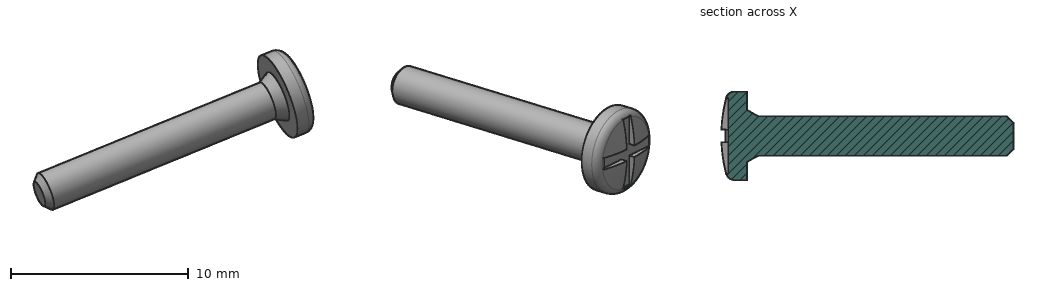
import cadquery as cq
import math

total_length = 16.44
head_radius = 2.5
shank_length = 15.0
crossing_sag = 0.01
head_height = total_length - shank_length + crossing_sag
rim_height = 0.7
crown_edge_radius = 0.5

shank_radius = 1.12
tip_chamfer = 0.38
neck_radius = 1.48
neck_length = 0.65

slot_width = 0.7
arm_reach = 2.12
cross_offset = 0.13
slot_depth = 0.4


def crown_arcs():
    """Return the edge arc midpoint, the point where it meets the dome, and the dome midpoint."""
    r = crown_edge_radius
    crown_rise = head_height - rim_height
    dome_radius = (head_radius**2 - 2 * head_radius * r + crown_rise**2) / (2 * (crown_rise - r))
    dome_centre_y = head_height - dome_radius
    edge_centre_x = head_radius - r
    tangent_angle = math.atan2(rim_height - dome_centre_y, edge_centre_x)
    dome_mid_angle = (tangent_angle + math.pi / 2) / 2

    def edge_point(angle):
        return (edge_centre_x + r * math.cos(angle), rim_height + r * math.sin(angle))

    dome_mid = (
        dome_radius * math.cos(dome_mid_angle),
        dome_centre_y + dome_radius * math.sin(dome_mid_angle),
    )
    return edge_point(tangent_angle / 2), edge_point(tangent_angle), dome_mid


def screw_body():
    edge_mid, dome_start, dome_mid = crown_arcs()
    return (
        cq.Workplane("XY")
        .moveTo(0, -shank_length)
        .lineTo(shank_radius - tip_chamfer, -shank_length)
        .lineTo(shank_radius, tip_chamfer - shank_length)
        .lineTo(shank_radius, -neck_length)
        .lineTo(neck_radius, 0)
        .lineTo(head_radius, 0)
        .lineTo(head_radius, rim_height)
        .threePointArc(edge_mid, dome_start)
        .threePointArc(dome_mid, (0, head_height))
        .close()
        .revolve(360, (0, 0, 0), (0, 1, 0))
    )


def cross_slots():
    """Two equal flat-bottomed slots forming a cross, set slightly off the screw axis."""
    slot_length = 2 * arm_reach
    floor_y = head_height - slot_depth
    slot_along_x = (
        cq.Workplane("XZ", origin=(0, floor_y, 0))
        .rect(slot_length, slot_width)
        .extrude(-slot_depth)
    )
    slot_along_z = slot_along_x.rotate((0, 0, 0), (0, 1, 0), 90)
    return slot_along_x.union(slot_along_z).translate((-cross_offset, 0, 0))


result = screw_body().cut(cross_slots())